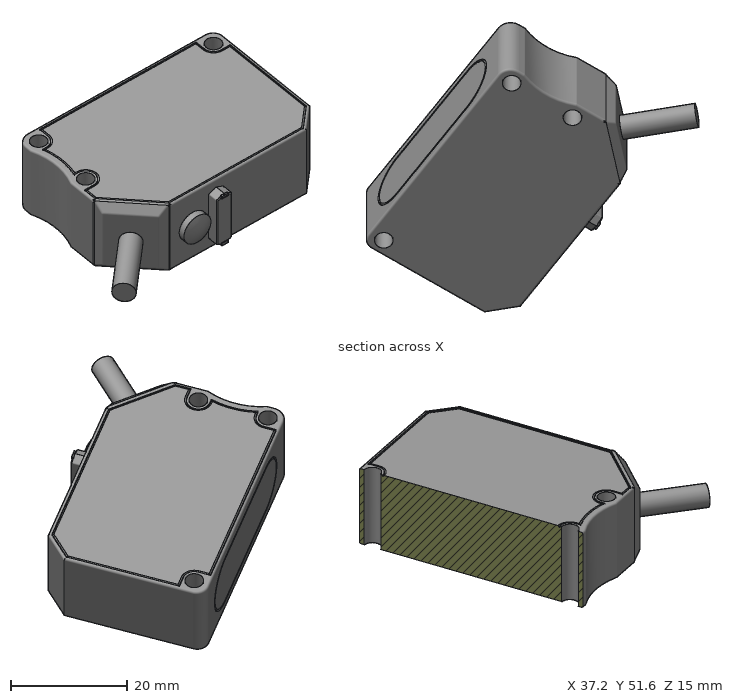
import cadquery as cq
import math

body_width = 30.0
body_length = 44.4
body_height = 15.0
mid_height = body_height / 2
rear_left_radius = 2.1
front_left_radius = 2.6
rear_corner_cut = 4.45
cable_corner_cut = 9.4
edge_fillet = 0.4

hollow_start = 3.85
hollow_end = 14.6
hollow_depth = 1.1
hollow_edge_fillet = 0.5
hollow_middle = (hollow_start + hollow_end) / 2
hollow_radius = ((hollow_end - hollow_start) ** 2 / 4 + hollow_depth**2) / (2 * hollow_depth)
hollow_center_y = hollow_depth - hollow_radius

hole_diameter = 3.2
hole_x = 2.85
hole_front_y = 2.65
hole_rear_y = body_length - hole_front_y
hole_pitch_x = 12.65
second_hole_x = hole_x + hole_pitch_x
boss_radius = 2.05

lid_margin = 0.6
lid_wall_over_hollow = 1.3
lid_notch = 0.3
window_length = 33.15
window_height = 11.45
window_y = 22.75
window_notch = 0.35
notch_floor_gap = 0.0005

outlet_inset = 0.15
outlet_bevel = 1.5
outlet_fillet = 0.5
outlet_overlap = 2.6
outlet_direction = cq.Vector(1, -1, 0)
outlet_diagonal = body_width - cable_corner_cut + outlet_bevel * math.sqrt(2)
cable_diameter = 4.25
cable_end_x = 35.65

bar_width = 3.35
bar_height = 11.7
bar_reach = 2.25
bar_ridge = 0.7
bar_end_chamfer = 0.2
bar_side_fillet = 0.25
bar_y = 19.7
lip_width = 1.45
lip_height = 0.55
lip_reach = 0.15
lip_root = 0.25
lip_margin = 0.15
button_diameter = 6.05
button_y = 14.45
button_rim_reach = 1.3
button_reach = 2.05


def arc_middle(center_x, center_y, radius, angle):
    """Point on a circle, used as the middle point of a three-point arc."""
    turn = math.radians(angle)
    return (center_x + radius * math.cos(turn), center_y + radius * math.sin(turn))


def make_body():
    rear_left = (rear_left_radius, body_length - rear_left_radius)
    front_left = (front_left_radius, front_left_radius)
    outline = (
        cq.Workplane("XY")
        .moveTo(front_left_radius, 0)
        .lineTo(hollow_start, 0)
        .threePointArc((hollow_middle, hollow_depth), (hollow_end, 0))
        .lineTo(body_width - cable_corner_cut, 0)
        .lineTo(body_width, cable_corner_cut)
        .lineTo(body_width, body_length - rear_corner_cut)
        .lineTo(body_width - rear_corner_cut, body_length)
        .lineTo(rear_left_radius, body_length)
        .threePointArc(arc_middle(*rear_left, rear_left_radius, 135), (0, rear_left[1]))
        .lineTo(0, front_left_radius)
        .threePointArc(arc_middle(*front_left, front_left_radius, 225), (front_left_radius, 0))
        .close()
    )
    body = outline.extrude(body_height)
    for hollow_edge_x in (hollow_start, hollow_end):
        hollow_edge = cq.selectors.NearestToPointSelector((hollow_edge_x, 0, mid_height))
        body = body.edges("|Z").edges(hollow_edge).fillet(hollow_edge_fillet)
    cut_corner = cq.selectors.DirectionMinMaxSelector(outlet_direction)
    rims = body.faces("<Z or >Z").edges()
    return rims.edges(cq.selectors.InverseSelector(cut_corner)).fillet(edge_fillet)


def make_outlet():
    """Corner block, bevelled above and below its diagonal face."""
    right = body_width - outlet_inset
    front = outlet_inset
    block = (
        cq.Workplane("XY")
        .polyline(
            [
                (front + outlet_diagonal, front),
                (right, right - outlet_diagonal),
                (right, right - outlet_diagonal + outlet_overlap),
                (front + outlet_diagonal - outlet_overlap, front),
            ]
        )
        .close()
        .extrude(body_height)
    )
    diagonal_face = cq.selectors.DirectionMinMaxSelector(outlet_direction)
    block = block.faces(diagonal_face).edges("<Z or >Z").chamfer(outlet_bevel)
    slanted_edges = block.edges("not(|Z or #Z)")
    return slanted_edges.add(block.faces(diagonal_face).edges()).fillet(outlet_fillet)


def make_cable():
    axis_start_x = (body_width + outlet_diagonal) / 2
    axis_start_y = (body_width - outlet_diagonal) / 2
    length = (cable_end_x - axis_start_x) * math.sqrt(2)
    start = cq.Vector(axis_start_x - outlet_bevel, axis_start_y + outlet_bevel, mid_height)
    return cq.Workplane(
        cq.Solid.makeCylinder(
            cable_diameter / 2, length + outlet_bevel * math.sqrt(2), start, outlet_direction
        )
    )


def lid_outline():
    """Closed lid outline on the top face, stepping round the three mounting holes."""
    left = lid_margin
    right = body_width - lid_margin
    front = lid_margin
    rear = body_length - lid_margin
    corner_shift = lid_margin * math.tan(math.radians(45 / 2))
    rear_cut = rear_corner_cut + corner_shift
    cable_cut = cable_corner_cut + corner_shift
    hollow_arc = hollow_radius + lid_wall_over_hollow

    def hollow_y(x):
        return hollow_center_y + math.sqrt(hollow_arc**2 - (x - hollow_middle) ** 2)

    first_right = hole_x + boss_radius
    second_left = second_hole_x - boss_radius
    second_right = second_hole_x + boss_radius
    return (
        cq.Workplane("XY", origin=(0, 0, body_height - lid_notch))
        .moveTo(left, hole_front_y + boss_radius)
        .lineTo(hole_x, hole_front_y + boss_radius)
        .threePointArc(arc_middle(hole_x, hole_front_y, boss_radius, 45), (first_right, hole_front_y))
        .lineTo(first_right, hollow_y(first_right))
        .threePointArc((hollow_middle, hollow_y(hollow_middle)), (second_left, hollow_y(second_left)))
        .lineTo(second_left, hole_front_y)
        .threePointArc((second_hole_x, hole_front_y + boss_radius), (second_right, hole_front_y))
        .lineTo(second_right, front)
        .lineTo(body_width - cable_cut, front)
        .lineTo(right, cable_cut)
        .lineTo(right, body_length - rear_cut)
        .lineTo(body_width - rear_cut, rear)
        .lineTo(first_right, rear)
        .lineTo(first_right, hole_rear_y)
        .threePointArc(
            arc_middle(hole_x, hole_rear_y, boss_radius, -45), (hole_x, hole_rear_y - boss_radius)
        )
        .lineTo(left, hole_rear_y - boss_radius)
        .close()
    )


def window_outline():
    """Round-ended window outline at the bottom of its recess."""
    return cq.Workplane("YZ", origin=(window_notch, window_y, mid_height)).slot2D(
        window_length, window_height
    )


def cut_notch(body, recess, outer_side, depth):
    """Cut a recess and leave its insert, bevelled at the outer rim, so a V-notch frames it."""
    insert = recess.faces(outer_side).edges().chamfer(depth - notch_floor_gap)
    return body.cut(recess.cut(insert))


def make_indicator_bar():
    half_width = bar_width / 2
    half_height = bar_height / 2
    shoulder = half_height - bar_ridge
    return (
        cq.Workplane("YZ", origin=(body_width, bar_y, mid_height))
        .polyline(
            [
                (0, half_height),
                (half_width, shoulder),
                (half_width, -shoulder),
                (0, -half_height),
                (-half_width, -shoulder),
                (-half_width, shoulder),
            ]
        )
        .close()
        .extrude(bar_reach)
        .edges("<Y or >Y")
        .edges("|X")
        .fillet(bar_side_fillet)
        .faces(">X")
        .chamfer(bar_end_chamfer)
    )


def make_button():
    """Short cylinder closed by a shallow spherical dome."""
    radius = button_diameter / 2
    crown = button_reach - button_rim_reach
    dome_radius = (radius**2 + crown**2) / (2 * crown)
    dome_half_way = math.asin(radius / dome_radius) / 2
    dome_center = button_reach - dome_radius
    dome_middle = (
        dome_center + dome_radius * math.cos(dome_half_way),
        dome_radius * math.sin(dome_half_way),
    )
    return (
        cq.Workplane("XY", origin=(body_width, button_y, mid_height))
        .lineTo(button_reach, 0)
        .threePointArc(dome_middle, (button_rim_reach, radius))
        .lineTo(0, radius)
        .close()
        .revolve(360, (0, 0, 0), (1, 0, 0))
    )


def make_lips():
    """Small lips on the end of the indicator bar, one near each ridge."""
    lip_offset = bar_height / 2 - lip_margin - lip_height / 2
    return (
        cq.Workplane("YZ", origin=(body_width + bar_reach - lip_root, bar_y, mid_height))
        .pushPoints([(0, lip_offset), (0, -lip_offset)])
        .rect(lip_width, lip_height)
        .extrude(lip_root + lip_reach)
    )


def drill_mounting_holes(body):
    centers = [(hole_x, hole_front_y), (second_hole_x, hole_front_y), (hole_x, hole_rear_y)]
    holes = cq.Workplane("XY").pushPoints(centers).circle(hole_diameter / 2).extrude(body_height)
    return body.cut(holes)


result = make_body().union(make_outlet())
result = cut_notch(result, lid_outline().extrude(lid_notch), ">Z", lid_notch)
result = cut_notch(result, window_outline().extrude(-window_notch), "<X", window_notch)
result = drill_mounting_holes(result)
for attachment in (make_cable(), make_indicator_bar(), make_lips(), make_button()):
    result = result.union(attachment)